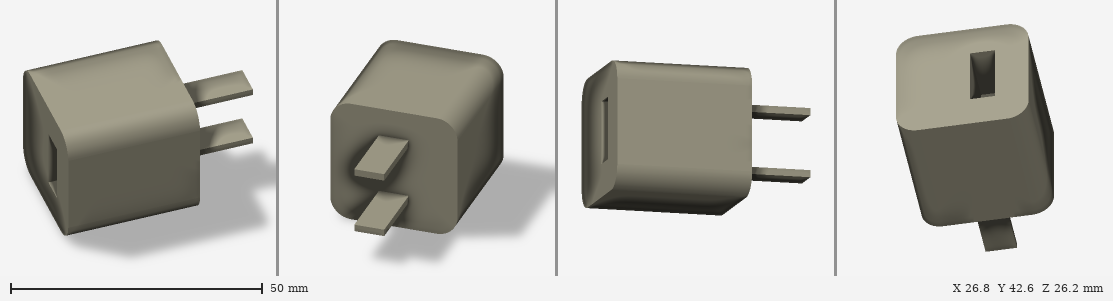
import cadquery as cq

total_length = 42.6
housing_width = 26.8
housing_height = 26.2
housing_length = 27.8
corner_radius = 4.4

socket_width = 5.0
socket_height = 12.7
socket_depth = 12.0
socket_center_x = 4.1

blade_width = 6.3
blade_thickness = 1.45
blade_length = total_length - housing_length
blade_spacing = 12.6


def block(width, length, height, x, y, z):
    """Box centred on x and z, running from y toward +Y."""
    return cq.Workplane("XY").box(width, length, height, centered=(True, False, True)).translate((x, y, z))


def make_housing():
    body = block(housing_width, housing_length, housing_height, 0, 0, 0)
    body = body.edges("|Y").fillet(corner_radius)
    socket = block(socket_width, socket_depth, socket_height, socket_center_x, 0, 0)
    return body.cut(socket)


def make_blade(z):
    return block(blade_width, blade_length, blade_thickness, 0, housing_length, z)


housing = make_housing()
blades = [make_blade(side * blade_spacing / 2) for side in (-1, 1)]

result = cq.Compound.makeCompound([housing.val(), *[blade.val() for blade in blades]])